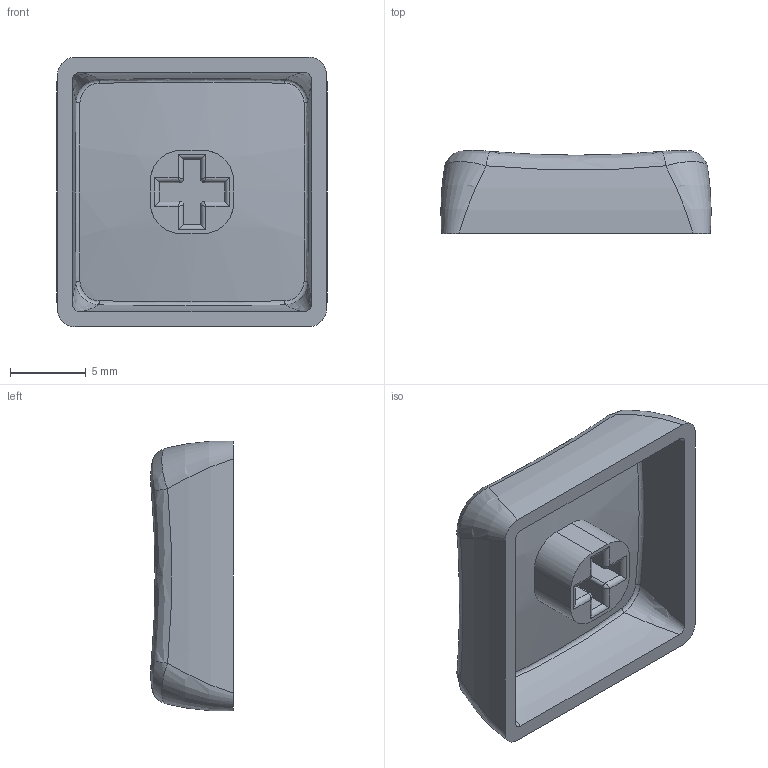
import cadquery as cq


bulge_half_x = 8.945
bulge_half_z = 8.94
bulge_height_x = 1.4
bulge_height_z = 0.6
bulge_radius_x = 18.5
bulge_radius_z = 15.4
rim_corner_radius = 1.17
corner_growth = 0.355
blank_height = 6.5

dish_radius = 64.0
dish_bottom_height = 4.76
top_fillet = 1.3

wall_thickness = 1.025
mouth_half = bulge_half_x - wall_thickness
cavity_wall_radius_x = 33.0
cavity_wall_radius_z = 17.0
mouth_corner_radius = 0.5
cavity_corner_growth = 0.26
cavity_blank_height = 5.4
ceiling_thickness = 1.43
ceiling_bottom_height = dish_bottom_height - ceiling_thickness
ceiling_radius = 59.0
ceiling_fillet = 0.25

stem_size = 5.5
stem_corner_radius = 2.02
stem_overlap = 0.3
socket_length = 4.31
socket_width_x = 1.14
socket_width_z = 1.24
socket_edge_fillet = 0.2
socket_mouth_fillet = 0.33

loft_steps = 3


def section(height, half_x, half_z, corner_radius):
    """Rounded-rectangle wire parallel to the rim at the given height."""
    outline = cq.Workplane("XZ", origin=(0, height, 0)).rect(2 * half_x, 2 * half_z).val()
    return outline.fillet2D(corner_radius, outline.Vertices())


def outer_section(height):
    half_x = bulge_half_x - (height - bulge_height_x) ** 2 / (2 * bulge_radius_x)
    half_z = bulge_half_z - (height - bulge_height_z) ** 2 / (2 * bulge_radius_z)
    return section(height, half_x, half_z, rim_corner_radius + corner_growth * height)


def cavity_section(height):
    half_x = mouth_half - height**2 / (2 * cavity_wall_radius_x)
    half_z = mouth_half - height**2 / (2 * cavity_wall_radius_z)
    return section(height, half_x, half_z, mouth_corner_radius + cavity_corner_growth * height)


def dished_block(section_at, height, ball_radius, ball_bottom, edge_fillet):
    """Smooth loft from the rim plane, cut by a large ball and rounded around the dish."""
    sections = [section_at(height * step / loft_steps) for step in range(loft_steps + 1)]
    ball = cq.Workplane().sphere(ball_radius).translate((0, ball_bottom + ball_radius, 0))
    block = cq.Workplane(obj=cq.Solid.makeLoft(sections)).cut(ball)
    return block.faces("%SPHERE").edges().fillet(edge_fillet)


def extruded(length_x, length_z, height):
    """Box centred on the Y axis, standing on the rim plane."""
    return cq.Workplane("XZ").rect(length_x, length_z).extrude(-height)


def make_stem():
    """Rounded square post with a cross-shaped socket that ends at the ceiling."""
    height = ceiling_bottom_height + stem_overlap
    post = extruded(stem_size, stem_size, height).edges("|Y").fillet(stem_corner_radius)
    cross = extruded(socket_length, socket_width_z, ceiling_bottom_height).union(
        extruded(socket_width_x, socket_length, ceiling_bottom_height)
    )
    inner_corners = cq.selectors.BoxSelector(
        (-socket_width_x, 0, -socket_width_z), (socket_width_x, height, socket_width_z)
    )
    cross = cross.edges("|Y").edges(inner_corners).fillet(socket_edge_fillet)
    stem = post.cut(cross)
    mouth = stem.faces("<Y").val().innerWires()[0]
    return stem.newObject(mouth.Edges()).fillet(socket_mouth_fillet)


body = dished_block(outer_section, blank_height, dish_radius, dish_bottom_height, top_fillet)
cavity = dished_block(
    cavity_section, cavity_blank_height, ceiling_radius, ceiling_bottom_height, ceiling_fillet
)
result = body.cut(cavity).union(make_stem())